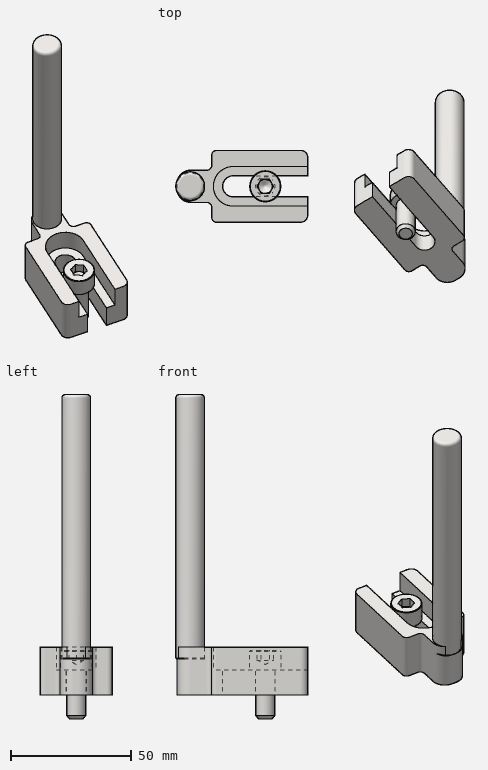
import cadquery as cq
import math

total_height = 135.0
length = 55.0
width = 30.0
block_height = 20.0
screw_reach = 10.0

nose_width = 13.5
nose_flat = 2.0
nose_radius = (nose_width - nose_flat) / 2
nose_start_x = 0.5
block_start_x = 15.0
neck_radius = 2.0
shoulder_radius = 2.0
end_radius = 3.0

rod_diameter = 12.0
rod_x = rod_diameter / 2
seat_diameter = 12.2
rod_depth = 4.9
rod_top_round = 1.5
rod_foot_chamfer = 0.4

slot_width = 8.6
recess_width = 16.5
slot_centre_x = 23.9
recess_depth = 9.5

screw_x = 37.3
screw_diameter = 8.0
screw_tip_inset = 1.2
screw_tip_taper = 1.5
head_diameter = 13.0
head_height = 8.0
head_chamfer = 0.3
hex_across_flats = 6.0
hex_depth = 4.0
point_depth = 1.8

floor_z = block_height - recess_depth
rod_foot_z = block_height - rod_depth
rod_top_z = total_height - screw_reach


def upright_box(start_x, end_x, size_y):
    """Box of full clamp height, centred on Y."""
    return (
        cq.Workplane("XY", origin=(start_x, 0, 0))
        .box(end_x - start_x, size_y, block_height, centered=(False, True, False))
    )


def open_slot(slot_size, bottom_z, top_z):
    """Slot along X with a round inner end, open at the +X end."""
    radius = slot_size / 2
    return (
        cq.Workplane("XY", origin=(slot_centre_x, 0, bottom_z))
        .moveTo(length - slot_centre_x, radius)
        .lineTo(0, radius)
        .threePointArc((-radius, 0), (0, -radius))
        .lineTo(length - slot_centre_x, -radius)
        .close()
        .extrude(top_z - bottom_z)
    )


def round_upright_edges(body, radius, corner_x, half_width):
    """Fillet the pair of vertical edges at x = corner_x, y = +/- half_width."""
    middle_z = block_height / 2
    rounded = body
    for side in (1, -1):
        point = (corner_x, side * half_width, middle_z)
        rounded = rounded.edges(cq.selectors.NearestToPointSelector(point)).fillet(radius)
    return rounded


def make_clamp():
    body = upright_box(block_start_x, length, width).union(
        upright_box(nose_start_x, block_start_x, nose_width)
    )
    body = round_upright_edges(body, neck_radius, block_start_x, nose_width / 2)
    body = round_upright_edges(body, shoulder_radius, block_start_x, width / 2)
    body = round_upright_edges(body, end_radius, length, width / 2)
    body = round_upright_edges(body, nose_radius, nose_start_x, nose_width / 2)
    rod_seat = cq.Workplane("XY", origin=(rod_x, 0, rod_foot_z)).circle(seat_diameter / 2).extrude(rod_depth)
    return (
        body
        .cut(open_slot(slot_width, 0, floor_z))
        .cut(open_slot(recess_width, floor_z, block_height))
        .cut(rod_seat)
    )


def make_rod():
    return (
        cq.Workplane("XY", origin=(rod_x, 0, rod_foot_z))
        .circle(rod_diameter / 2)
        .extrude(rod_top_z - rod_foot_z)
        .faces(">Z").edges().fillet(rod_top_round)
        .faces("<Z").edges().chamfer(rod_foot_chamfer)
    )


def make_screw():
    shank = (
        cq.Workplane("XY", origin=(screw_x, 0, -screw_reach))
        .circle(screw_diameter / 2)
        .extrude(screw_reach + floor_z)
        .faces("<Z").chamfer(screw_tip_taper, screw_tip_inset)
    )
    head = (
        cq.Workplane("XY", origin=(screw_x, 0, floor_z))
        .circle(head_diameter / 2)
        .extrude(head_height)
        .faces(">Z").edges().chamfer(head_chamfer)
    )
    hex_floor_z = floor_z + head_height - hex_depth
    hex_socket = (
        cq.Workplane("XY", origin=(screw_x, 0, hex_floor_z))
        .polygon(6, hex_across_flats / math.cos(math.pi / 6))
        .extrude(hex_depth)
    )
    drill_point = cq.Workplane(
        cq.Solid.makeCone(
            hex_across_flats / 2, 0, point_depth,
            pnt=cq.Vector(screw_x, 0, hex_floor_z), dir=cq.Vector(0, 0, -1),
        )
    )
    return shank.union(head).cut(hex_socket).cut(drill_point)


clamp = make_clamp()
rod = make_rod()
screw = make_screw()

result = cq.Compound.makeCompound([clamp.val(), rod.val(), screw.val()])